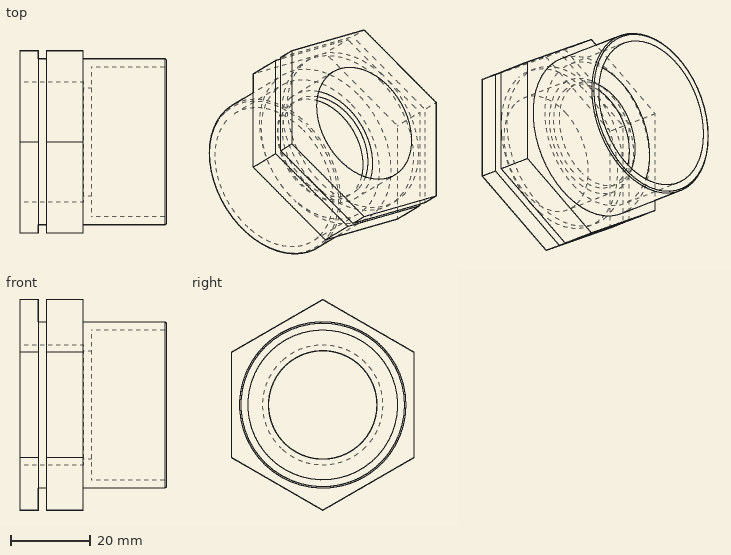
import cadquery as cq
import math

total_length = 37.0
hex_across_flats = 46.0
hex_across_corners = hex_across_flats / math.cos(math.radians(30))

collar_end = 4.65
nut_start = 6.7
nut_end = 15.95

body_diameter = 41.91
body_end_chamfer = 0.37
entry_bore_diameter = 30.29
entry_bore_depth = 16.0
neck_bore_diameter = 27.26
neck_length = 2.0
rear_bore_diameter = 37.72


def cylinder(diameter, start, end):
    return cq.Workplane("YZ", origin=(start, 0, 0)).circle(diameter / 2).extrude(end - start)


def hex_plate(start, end):
    """Hexagonal plate with flats facing +Y and -Y and corners at +Z and -Z."""
    return (
        cq.Workplane("YZ", origin=(start, 0, 0))
        .transformed(rotate=(0, 0, 90))
        .polygon(6, hex_across_corners)
        .extrude(end - start)
    )


def make_body():
    body = cylinder(body_diameter, 0, total_length)
    return body.faces(">X").edges().chamfer(body_end_chamfer)


def make_bore():
    """Stepped bore: entry bore, narrow neck, then the wide rear bore."""
    neck_end = entry_bore_depth + neck_length
    entry_bore = cylinder(entry_bore_diameter, 0, entry_bore_depth)
    neck_bore = cylinder(neck_bore_diameter, entry_bore_depth, neck_end)
    rear_bore = cylinder(rear_bore_diameter, neck_end, total_length)
    return entry_bore.union(neck_bore).union(rear_bore)


result = (
    make_body()
    .union(hex_plate(0, collar_end))
    .union(hex_plate(nut_start, nut_end))
    .cut(make_bore())
)